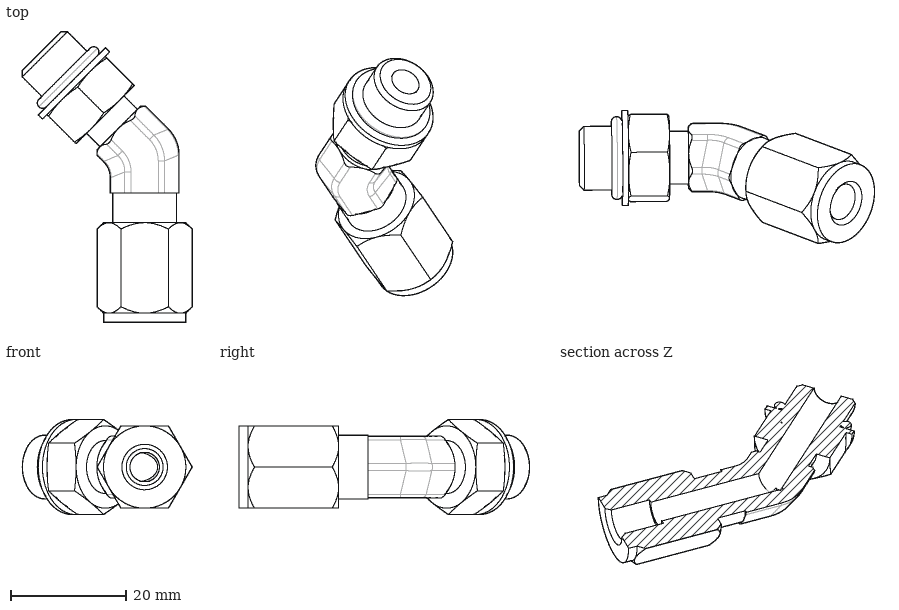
import cadquery as cq
import math

BEND_ANGLE = 45.0

HEX_SIDES = 6
HEX_FLATS_RATIO = math.cos(math.pi / HEX_SIDES)

POSITION_TOLERANCE = 0.001

BODY_FLATS = 10.72
BODY_CORNER_RADIUS = 1.27
INNER_BEND_RADIUS = 4.65
OUTER_BEND_RADIUS = 7.3
BODY_END_CHAMFER = 0.63
BODY_SWIVEL_LENGTH = 6.8
BODY_PORT_LENGTH = 6.37

NUT_FLATS = 14.29
NUT_CORNERS = NUT_FLATS / HEX_FLATS_RATIO

TUBE_DIAMETER = 11.11
TUBE_LENGTH = 5.1
SWIVEL_NUT_LENGTH = 15.7
SWIVEL_NUT_CHAMFER_ANGLE = 45.0
SWIVEL_NUT_TURN = 0.0
COLLAR_LENGTH = 1.6
MOUTH_DIAMETER = 7.9
MOUTH_DEPTH = 0.9
COUNTERBORE_DIAMETER = 6.4
COUNTERBORE_DEPTH = 8.0

NECK_DIAMETER = 9.2
NECK_LENGTH = 3.3
LOCKNUT_LENGTH = 7.15
LOCKNUT_CHAMFER_ANGLE = 20.0
LOCKNUT_TURN = 30.0
WASHER_THICKNESS = 1.03
WASHER_DIAMETER = 16.51
ORING_SECTION = 1.84
ORING_OUTER_DIAMETER = 14.4
STUD_DIAMETER = 11.11
STUD_CHAMFER = 0.8
STUD_REACH = 7.42

BORE_DIAMETER = 5.1
BORE_OVERRUN = 1.36

swivel_tube_end = BODY_SWIVEL_LENGTH + TUBE_LENGTH
swivel_nut_end = swivel_tube_end + SWIVEL_NUT_LENGTH
swivel_end = swivel_nut_end + COLLAR_LENGTH

locknut_start = BODY_PORT_LENGTH + NECK_LENGTH
washer_start = locknut_start + LOCKNUT_LENGTH
oring_start = washer_start + WASHER_THICKNESS
port_end = oring_start + STUD_REACH


def place_swivel_arm(shape):
    """Turn a shape built along +Z so that it points along -Y."""
    return shape.rotate((0, 0, 0), (1, 0, 0), 90)


def place_port_arm(shape):
    """Turn a shape built along +Z into the direction of the angled arm."""
    return place_swivel_arm(shape).rotate((0, 0, 0), (0, 0, 1), 180 + BEND_ANGLE)


def cylinder(diameter, start, end):
    return cq.Workplane("XY").workplane(offset=start).circle(diameter / 2).extrude(end - start)


def cone(start_diameter, end_diameter, start, end):
    return (
        cq.Workplane("XY")
        .workplane(offset=start)
        .circle(start_diameter / 2)
        .workplane(offset=end - start)
        .circle(end_diameter / 2)
        .loft()
    )


def hex_nut(start, length, chamfer_angle, turn):
    """Hexagon with its corners turned down at both ends to the across-flats circle."""
    hexagon = cq.Workplane("XY").polygon(HEX_SIDES, NUT_CORNERS).extrude(length)
    flat_radius = NUT_FLATS / 2
    corner_radius = NUT_CORNERS / 2
    drop = (corner_radius - flat_radius) * math.tan(math.radians(chamfer_angle))
    envelope = (
        cq.Workplane("XZ")
        .moveTo(0, 0)
        .lineTo(flat_radius, 0)
        .lineTo(corner_radius, drop)
        .lineTo(corner_radius, length - drop)
        .lineTo(flat_radius, length)
        .lineTo(0, length)
        .close()
        .revolve(360, (0, 0), (0, 1))
    )
    nut = hexagon.intersect(envelope)
    return nut.rotate((0, 0, 0), (0, 0, 1), turn).translate((0, 0, start))


def body_path():
    """Centre line of the body, from the swivel end round the bend to the port end."""
    angle = math.radians(BEND_ANGLE)
    port_tip = (-BODY_PORT_LENGTH * math.sin(angle), BODY_PORT_LENGTH * math.cos(angle))
    return cq.Workplane("XY").polyline([(0, -BODY_SWIVEL_LENGTH), (0, 0), port_tip])


def bend_edges(body, side):
    """Sloping mitre edges on one side of the bend: +1 outside, -1 inside."""
    half_angle = math.radians(BEND_ANGLE / 2)

    def is_wanted(edge):
        outward = []
        for vertex in edge.Vertices():
            off_mitre = vertex.X * math.sin(half_angle) - vertex.Y * math.cos(half_angle)
            outward.append(vertex.X * side)
            if abs(off_mitre) > POSITION_TOLERANCE:
                return False
        slopes = edge.BoundingBox().zlen > POSITION_TOLERANCE
        return slopes and min(outward) > 0

    return body.edges().filter(is_wanted)


def elbow_body():
    corners = BODY_FLATS / HEX_FLATS_RATIO
    body = (
        cq.Workplane("XZ", origin=(0, -BODY_SWIVEL_LENGTH, 0))
        .polygon(HEX_SIDES, corners)
        .sweep(body_path(), transition="right")
    )
    body = bend_edges(body, 1).fillet(OUTER_BEND_RADIUS)
    body = bend_edges(body, -1).fillet(INNER_BEND_RADIUS)
    body = body.edges("|Y").fillet(BODY_CORNER_RADIUS)
    return body.cut(place_port_arm(body_end_relief(corners)))


def body_end_relief(outer_diameter):
    """Conical ring that turns down the hexagon corners at the port end of the body."""
    chamfer_start = BODY_PORT_LENGTH - BODY_END_CHAMFER
    ring = cylinder(outer_diameter, chamfer_start, BODY_PORT_LENGTH)
    base_diameter = BODY_FLATS + 2 * BODY_END_CHAMFER
    return ring.cut(cone(base_diameter, BODY_FLATS, chamfer_start, BODY_PORT_LENGTH))


def swivel_arm():
    tube = cylinder(TUBE_DIAMETER, BODY_SWIVEL_LENGTH, swivel_tube_end)
    nut = hex_nut(swivel_tube_end, SWIVEL_NUT_LENGTH, SWIVEL_NUT_CHAMFER_ANGLE, SWIVEL_NUT_TURN)
    collar = cylinder(NUT_FLATS, swivel_nut_end, swivel_end)
    return place_swivel_arm(tube.union(nut).union(collar))


def port_arm():
    neck = cylinder(NECK_DIAMETER, BODY_PORT_LENGTH, locknut_start)
    locknut = hex_nut(locknut_start, LOCKNUT_LENGTH, LOCKNUT_CHAMFER_ANGLE, LOCKNUT_TURN)
    washer = cylinder(WASHER_DIAMETER, washer_start, oring_start)
    stud = cylinder(STUD_DIAMETER, oring_start, port_end).faces(">Z").chamfer(STUD_CHAMFER)
    arm = neck.union(locknut).union(washer).union(stud).union(oring())
    return place_port_arm(arm)


def oring():
    section_radius = ORING_SECTION / 2
    ring_radius = ORING_OUTER_DIAMETER / 2 - section_radius
    return (
        cq.Workplane("XZ")
        .center(ring_radius, oring_start + section_radius)
        .circle(section_radius)
        .revolve(360, (-ring_radius, 0), (-ring_radius, 1))
    )


def swivel_bore():
    """Bore, counterbore and conical mouth, cut in from the end of the swivel arm."""
    bore = cylinder(BORE_DIAMETER, -BORE_OVERRUN, swivel_end)
    counterbore = cylinder(COUNTERBORE_DIAMETER, swivel_end - COUNTERBORE_DEPTH, swivel_end)
    mouth = cone(COUNTERBORE_DIAMETER, MOUTH_DIAMETER, swivel_end - MOUTH_DEPTH, swivel_end)
    return place_swivel_arm(bore.union(counterbore).union(mouth))


def port_bore():
    return place_port_arm(cylinder(BORE_DIAMETER, -BORE_OVERRUN, port_end))


result = elbow_body().union(swivel_arm()).union(port_arm())
result = result.cut(swivel_bore()).cut(port_bore())